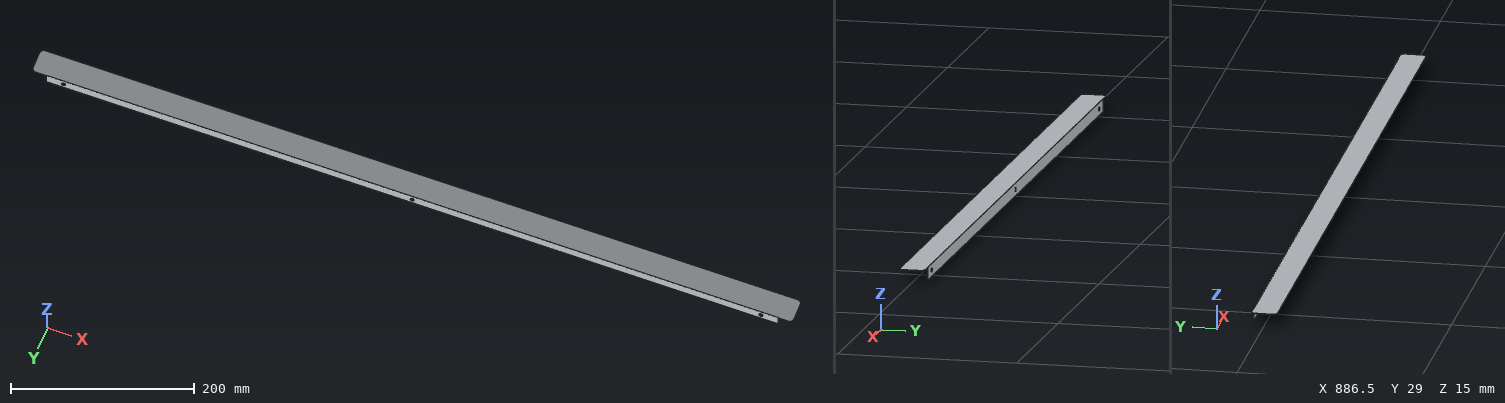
import cadquery as cq

total_length = 886.5
width = 29.0
height = 15.0
thickness = 0.8

corner_radius = 5.0

flange_setback = 17.0
flange_length = total_length - 2 * flange_setback

hole_diameter = 4.2
hole_end_distance = 20.0
hole_height = height / 2
hole_spacing = flange_length / 2 - hole_end_distance


def make_plate():
    """Flat horizontal plate with four rounded corners."""
    return (
        cq.Workplane("XY", origin=(0, 0, height - thickness))
        .box(total_length, width, thickness, centered=False)
        .edges("|Z")
        .fillet(corner_radius)
    )


def make_flange():
    """Upright strip along the rear edge, reaching up through the plate thickness."""
    return (
        cq.Workplane("XY", origin=(flange_setback, width - thickness, 0))
        .box(flange_length, thickness, height, centered=False)
    )


def make_holes():
    """Three evenly spaced cylinders that pierce the flange along Y."""
    middle = total_length / 2
    hole_centers = [(middle + step * hole_spacing, hole_height) for step in (-1, 0, 1)]
    return (
        cq.Workplane("XZ", origin=(0, width, 0))
        .pushPoints(hole_centers)
        .circle(hole_diameter / 2)
        .extrude(thickness)
    )


result = make_plate().union(make_flange()).cut(make_holes())